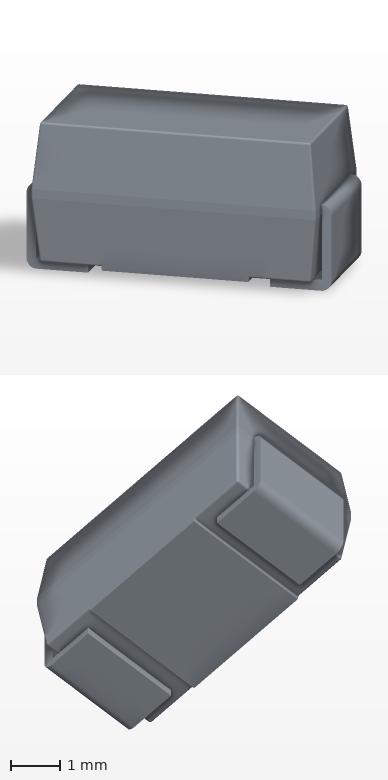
import cadquery as cq
import math

overall_length = 6.44
overall_height = 3.2

lead_thickness = 0.2
lead_bend_radius = 0.22
lead_width = 2.305
foot_length = 1.3
lead_height = 1.82
lead_inner_radius = lead_bend_radius - lead_thickness
lead_outer_x = overall_length / 2

housing_length = overall_length - 2 * lead_bend_radius
housing_width = 3.2
draft_angle = 6.0
edge_radius = 0.05
band_top = lead_height
band_bottom = band_top - lead_thickness
half_height = overall_height - band_top

pad_root_length = 3.4
pad_bottom = 0.155


def make_housing_shell():
    """Drafted housing with its vertical edges and its top and bottom rims rounded."""
    band = (
        cq.Workplane("XY")
        .workplane(offset=band_bottom)
        .rect(housing_length, housing_width)
        .extrude(lead_thickness)
    )
    upper_half = band.faces(">Z").wires().toPending().extrude(half_height, taper=draft_angle, combine=False)
    lower_half = upper_half.mirror("XY", basePointVector=(0, 0, (band_top + band_bottom) / 2))
    shell = band.union(upper_half).union(lower_half)
    rounded_edges = shell.edges("(not (|X or |Y)) or >Z or <Z")
    return rounded_edges.fillet(edge_radius)


def make_standoff_pad():
    """Block narrowing at the draft angle from the parting band to below the housing."""
    return (
        cq.Workplane("XY")
        .workplane(offset=band_bottom)
        .rect(pad_root_length, housing_width)
        .extrude(pad_bottom - band_bottom, taper=draft_angle)
    )


def make_housing():
    return make_housing_shell().union(make_standoff_pad(), clean=False)


def make_lead():
    """Lead at the -X end: upper bend against the housing, upright, lower bend and foot."""
    bend_x = -lead_outer_x + lead_bend_radius
    upper_bend_z = lead_height - lead_bend_radius
    lower_bend_z = lead_bend_radius
    foot_tip_x = -lead_outer_x + foot_length
    diagonal = math.sqrt(0.5)
    outer_mid = lead_bend_radius * diagonal
    inner_mid = lead_inner_radius * diagonal
    upright_inner_x = -lead_outer_x + lead_thickness
    profile = (
        cq.Workplane("XZ")
        .moveTo(bend_x, lead_height)
        .threePointArc((bend_x - outer_mid, upper_bend_z + outer_mid), (-lead_outer_x, upper_bend_z))
        .lineTo(-lead_outer_x, lower_bend_z)
        .threePointArc((bend_x - outer_mid, lower_bend_z - outer_mid), (bend_x, 0))
        .lineTo(foot_tip_x, 0)
        .lineTo(foot_tip_x, lead_thickness)
        .lineTo(bend_x, lead_thickness)
        .threePointArc((bend_x - inner_mid, lower_bend_z - inner_mid), (upright_inner_x, lower_bend_z))
        .lineTo(upright_inner_x, upper_bend_z)
        .threePointArc((bend_x - inner_mid, upper_bend_z + inner_mid), (bend_x, band_bottom))
        .close()
    )
    return profile.extrude(lead_width / 2, both=True)


housing = make_housing()
leads = []
for turn in (0, 180):
    leads.append(make_lead().rotate((0, 0, 0), (0, 0, 1), turn))

result = cq.Compound.makeCompound([housing.val(), *[lead.val() for lead in leads]])